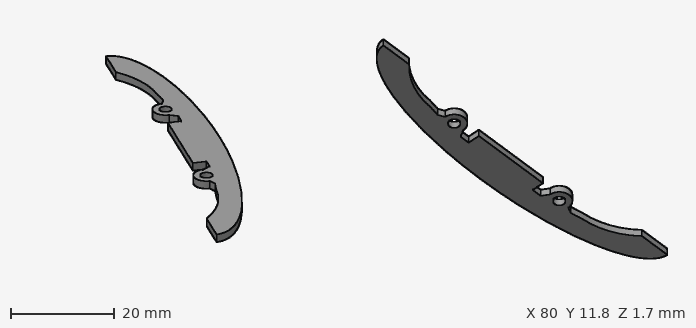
import cadquery as cq

length = 80.0
depth = 11.8
thickness = 1.7

half_length = length / 2
foot_inner_x = 32.8
arm_arc_mid = (27.6, 3.6)
arm_arc_end = (21.4, 5.1)
arm_tip = (18.7, 5.6)

lug_x = 14.8
lug_y = 5.0
lug_radius = 2.6
hole_diameter = 2.4

tab_half_width = 9.0
tab_y = 3.8
notch_y = 6.6
notch_outer_x = 11.3



def make_half_plate():
    """Half of the curved plate on +X, with an elliptical outer edge."""
    return (
        cq.Workplane("XY")
        .moveTo(0, tab_y)
        .lineTo(tab_half_width, tab_y)
        .lineTo(tab_half_width, notch_y)
        .lineTo(notch_outer_x, notch_y)
        .lineTo(lug_x - lug_radius, lug_y)
        .threePointArc((lug_x, lug_y - lug_radius), (lug_x + lug_radius, lug_y))
        .lineTo(*arm_tip)
        .lineTo(*arm_arc_end)
        .threePointArc(arm_arc_mid, (foot_inner_x, 0))
        .lineTo(half_length, 0)
        .ellipseArc(half_length, depth, 0, 90, startAtCurrent=True)
        .close()
        .extrude(thickness)
    )


def make_lug_holes():
    """Through holes concentric with the two lugs."""
    return (
        cq.Workplane("XY")
        .pushPoints([(-lug_x, lug_y), (lug_x, lug_y)])
        .circle(hole_diameter / 2)
        .extrude(thickness)
    )


half_plate = make_half_plate()
plate = half_plate.union(half_plate.mirror("YZ")).clean()
result = plate.cut(make_lug_holes())